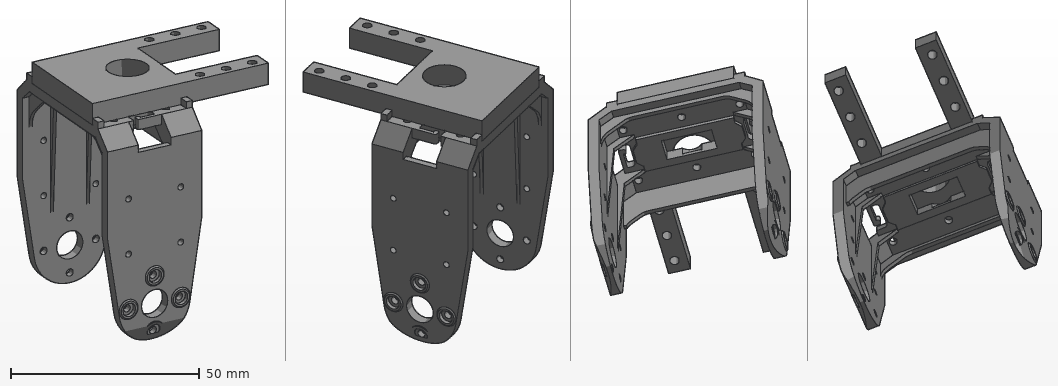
import cadquery as cq
import math


pitch = 8.0
screw_dia = 2.1
margin = 0.7
edge_reach = 0.1
bracket_depth = 29.0
front_y = -bracket_depth / 2
back_y = bracket_depth / 2
total_height = 69.0
tip_radius = 11.0
plate_height = 6.2
plate_top_z = total_height - tip_radius
seat_z = plate_top_z - plate_height

plate_width = 32.0
plate_length = 54.0
arm_width = 6.0
arm_hole_dia = 2.5
arm_hole_x = 13.45
arm_hole_start_y = 20.0
arm_hole_count = 3
port_dia = 11.5
port_y = 5.5

leg_outer_x = 24.0
leg_inner_x = 21.05
shoulder_x = 19.0
shoulder_low_z = 47.0
roof_z = 48.85
roof_x = 17.5
inner_shoulder_z = 45.7

taper_start_z = 22.0
hub_hole_dia = 8.0
light_hole_dia = 1.7

boss_dia = 5.8
boss_top_dia = 5.0
boss_height = 0.38
counterbore_dia = 3.8
counterbore_depth = 0.9

relief_radius = 19.0
relief_start_z = -6.2
relief_end_x = 22.15

tab_height = 1.9
tab_length = 1.85

web_thickness = 1.0
web_inset = 2.0
front_crown_x = 13.6
front_crown_z = 47.0
front_spring_z = 40.15
back_crown_x = 15.5
back_crown_z = 38.0
back_spring_z = 33.0
crown_radius = 3.45
spring_radius = 7.6

rib_thickness = 1.0
rib_y = 5.5
rib_end_z = 10.75
rib_bend_x = 19.2
rib_bend_z = 43.8

pad_thickness = 1.3
pad_width = 2 * rib_y - rib_thickness
pad_half_length = 13.45
nose_length = 1.5
nose_base_width = 6.75
nose_tip_width = 3.7

window_width = 2 * rib_y - rib_thickness
window_floor_z = 44.85
window_bevel = 1.05

slot_half_length = 3.45
slot_inner_x = 15.5
clip_thickness = 1.1
clip_end_y = -2.2
hook_start_y = -0.75
hook_x = 17.0
slot_corner_radius = 1.05
hook_corner_radius = 0.6
gap_corner_radius = 0.4

recess_dia = 8.0
opening_length = 13.8
opening_half_width = 3.0


def box(x_range, y_range, z_range):
    """Block between the given limits."""
    size = [high - low for low, high in (x_range, y_range, z_range)]
    corner = (x_range[0], y_range[0], z_range[0])
    return cq.Workplane("XY").box(*size, centered=False).translate(corner)


def extrude_xz(points, y_start, thickness):
    """Prism of an XZ outline, running from y_start towards +Y."""
    profile = cq.Workplane("XZ", origin=(0, y_start, 0)).polyline(points).close()
    return profile.extrude(-thickness)


def mirrored(points):
    """Outline made symmetric about X = 0 from its right half, listed from one end to the other."""
    return points + [(-x, z) for x, z in reversed(points)]


def both_sides(shape):
    """The +X shape together with its mirror image."""
    return shape.union(shape.mirror("YZ"))


def make_plate():
    half_width = plate_width / 2
    plate = box((-half_width, half_width), (front_y, front_y + plate_length), (seat_z, plate_top_z))
    gap_x = half_width - arm_width
    plate = plate.cut(box((-gap_x, gap_x), (back_y, front_y + plate_length), (seat_z, plate_top_z)))
    arm_holes = [
        (side * arm_hole_x, arm_hole_start_y + i * pitch)
        for side in (-1, 1)
        for i in range(arm_hole_count)
    ]
    top = cq.Workplane("XY", origin=(0, 0, seat_z))
    plate = plate.cut(top.pushPoints(arm_holes).circle(arm_hole_dia / 2).extrude(plate_height))
    return plate.cut(top.center(0, port_y).circle(port_dia / 2).extrude(plate_height))


def bent_frame():
    """U-shaped strip with sloped shoulders."""
    outline = mirrored([
        (leg_inner_x, -tip_radius),
        (leg_outer_x, -tip_radius),
        (leg_outer_x, shoulder_low_z),
        (shoulder_x, seat_z),
    ])
    hollow = mirrored([
        (leg_inner_x, -tip_radius),
        (leg_inner_x, inner_shoulder_z),
        (roof_x, roof_z),
    ])
    frame = extrude_xz(outline, front_y, bracket_depth)
    return frame.cut(extrude_xz(hollow, front_y, bracket_depth))


def leg_silhouette():
    """Side outline of the bracket: straight, then tapering tangentially into the round tip."""
    distance = math.hypot(back_y, taper_start_z)
    angle = math.atan2(taper_start_z, back_y) - math.acos(tip_radius / distance)
    tangent_y = tip_radius * math.cos(angle)
    tangent_z = tip_radius * math.sin(angle)
    return (
        cq.Workplane("YZ", origin=(-leg_outer_x, 0, 0))
        .moveTo(front_y, seat_z)
        .lineTo(front_y, taper_start_z)
        .lineTo(-tangent_y, tangent_z)
        .threePointArc((0, -tip_radius), (tangent_y, tangent_z))
        .lineTo(back_y, taper_start_z)
        .lineTo(back_y, seat_z)
        .close()
        .extrude(2 * leg_outer_x)
    )


def under_roof(y_start, thickness):
    """Slice of the space between the legs, from the springing of the back arch up to the roof."""
    points = [(leg_inner_x, back_spring_z), (leg_inner_x, inner_shoulder_z), (roof_x, roof_z)]
    return extrude_xz(mirrored(points), y_start, thickness)


def arched_web(y_start, crown_x, crown_z, spring_z):
    """Thin wall under the roof with a rounded arch as its lower edge."""
    opening = extrude_xz(
        mirrored([(leg_inner_x, -tip_radius), (leg_inner_x, spring_z), (crown_x, crown_z)]),
        y_start,
        web_thickness,
    )
    opening = opening.faces(">Z").edges("|Y").fillet(crown_radius)
    springing = cq.selectors.BoxSelector(
        (-leg_inner_x - margin, y_start - margin, spring_z - margin),
        (leg_inner_x + margin, y_start + web_thickness + margin, spring_z + margin),
    )
    opening = opening.edges("|Y").edges(springing).fillet(spring_radius)
    return under_roof(y_start, web_thickness).cut(opening)


def webs():
    front = arched_web(front_y + web_inset, front_crown_x, front_crown_z, front_spring_z)
    back_start = back_y - web_inset - web_thickness
    return front.union(arched_web(back_start, back_crown_x, back_crown_z, back_spring_z))


def ribs():
    """Two ribs on each leg, thickening up to a bend and then following the shoulder."""
    shoulder_slope = (roof_z - inner_shoulder_z) / (leg_inner_x - roof_x)
    rib_top_x = rib_bend_x - (roof_z - rib_bend_z) / shoulder_slope
    points = [
        (leg_inner_x, rib_end_z),
        (leg_inner_x, inner_shoulder_z),
        (roof_x, roof_z),
        (rib_top_x, roof_z),
        (rib_bend_x, rib_bend_z),
    ]
    pair = [
        extrude_xz(points, y - rib_thickness / 2, rib_thickness)
        for y in (-rib_y, rib_y)
    ]
    return both_sides(pair[0].union(pair[1]))


def pad():
    """Thickening under the middle of the roof, with a tapered nose at each end."""
    half_length = pad_half_length
    tip_x = half_length + nose_length
    lower_half = [
        (-tip_x, -nose_tip_width / 2),
        (-half_length, -nose_base_width / 2),
        (-half_length, -pad_width / 2),
        (half_length, -pad_width / 2),
        (half_length, -nose_base_width / 2),
        (tip_x, -nose_tip_width / 2),
    ]
    outline = lower_half + [(x, -y) for x, y in reversed(lower_half)]
    base = cq.Workplane("XY", origin=(0, 0, roof_z - pad_thickness))
    return base.polyline(outline).close().extrude(pad_thickness)


def tabs():
    """Four small blocks at the ends of the flat top, beside the plate."""
    x_range = (plate_width / 2, shoulder_x)
    z_range = (seat_z, seat_z + tab_height)
    front = box(x_range, (front_y, front_y + tab_length), z_range)
    back = box(x_range, (back_y - tab_length, back_y), z_range)
    return both_sides(front.union(back))


def hub_positions():
    return [(pitch, 0), (-pitch, 0), (0, pitch), (0, -pitch)]


def bosses():
    """Low conical pads around the hub screws, on the +X leg."""
    slant = math.degrees(math.atan2((boss_dia - boss_top_dia) / 2, boss_height))
    return (
        cq.Workplane("YZ", origin=(leg_outer_x, 0, 0))
        .pushPoints(hub_positions())
        .circle(boss_dia / 2)
        .extrude(boss_height, taper=slant)
    )


def tip_relief():
    """Curved cutter that thins the +X leg tip towards its lower end."""
    chord_x = leg_outer_x - relief_end_x
    chord_z = relief_start_z + tip_radius
    half_chord = math.hypot(chord_x, chord_z) / 2
    to_centre = math.sqrt(relief_radius**2 - half_chord**2)
    centre_x = (leg_outer_x + relief_end_x) / 2 - to_centre * chord_z / (2 * half_chord)
    centre_z = (relief_start_z - tip_radius) / 2 + to_centre * chord_x / (2 * half_chord)
    block = box(
        (relief_end_x - margin, leg_outer_x + margin),
        (front_y, back_y),
        (-tip_radius - margin, 0),
    )
    round_bar = (
        cq.Workplane("XZ", origin=(centre_x, back_y, centre_z))
        .circle(relief_radius)
        .extrude(bracket_depth)
    )
    return block.cut(round_bar)


def leg_holes():
    """Hub holes, screw holes and counterbores of both legs."""
    span = 2 * (leg_outer_x + boss_height)
    across = cq.Workplane("YZ", origin=(-span / 2, 0, 0))
    light_positions = [(y, z) for y in (-pitch, pitch) for z in (2 * pitch, 4 * pitch)]
    holes = across.circle(hub_hole_dia / 2).extrude(span)
    holes = holes.union(across.pushPoints(hub_positions()).circle(screw_dia / 2).extrude(span))
    holes = holes.union(across.pushPoints(light_positions).circle(light_hole_dia / 2).extrude(span))
    counterbores = (
        cq.Workplane("YZ", origin=(leg_outer_x - counterbore_depth, 0, 0))
        .pushPoints(hub_positions())
        .circle(counterbore_dia / 2)
        .extrude(counterbore_depth + boss_height)
    )
    return holes.union(both_sides(counterbores))


def window():
    """Opening in the +X shoulder, with a bevel on the inner edge of its floor."""
    bevel_x = leg_inner_x + window_bevel
    points = [
        (roof_x, window_floor_z - window_bevel),
        (leg_inner_x, window_floor_z - window_bevel),
        (bevel_x, window_floor_z),
        (leg_outer_x, window_floor_z),
        (leg_outer_x, seat_z),
        (shoulder_x, seat_z),
        (shoulder_x, roof_z),
        (roof_x, roof_z),
    ]
    return extrude_xz(points, -window_width / 2, window_width)


def clip_slot():
    """Slot through the flat top that frees a hooked clip at the +X edge."""
    clip_inner_x = shoulder_x - clip_thickness
    points = [
        (slot_inner_x, -slot_half_length),
        (shoulder_x, -slot_half_length),
        (shoulder_x, clip_end_y),
        (hook_x, clip_end_y),
        (hook_x, hook_start_y),
        (clip_inner_x, hook_start_y),
        (clip_inner_x, slot_half_length),
        (slot_inner_x, slot_half_length),
    ]
    slot = cq.Workplane("XY", origin=(0, 0, roof_z)).polyline(points).close().extrude(seat_z - roof_z)
    return slot.edges("|Z and <X").fillet(slot_corner_radius)


def round_clips(bracket):
    """Rounds the hook of each clip, its root and the corner across the gap from its free end."""
    corners = [
        (shoulder_x, -slot_half_length, gap_corner_radius),
        (shoulder_x - clip_thickness, slot_half_length, gap_corner_radius),
        (shoulder_x, clip_end_y, hook_corner_radius),
        (hook_x, clip_end_y, hook_corner_radius),
        (hook_x, hook_start_y, hook_corner_radius),
    ]
    for x, y, radius in corners:
        for side_x in (-x, x):
            low = (side_x - edge_reach, y - edge_reach, roof_z)
            high = (side_x + edge_reach, y + edge_reach, seat_z)
            edge = bracket.edges("|Z").edges(cq.selectors.BoxSelector(low, high))
            bracket = edge.fillet(radius)
    return bracket


def top_openings():
    """Screw holes, central recess and central opening of the flat top."""
    thickness = seat_z - roof_z
    roof = cq.Workplane("XY", origin=(0, 0, roof_z))
    positions = [(x, y) for x in (-2 * pitch, 0, 2 * pitch) for y in (-pitch, pitch)]
    cutter = roof.pushPoints(positions).circle(screw_dia / 2).extrude(thickness)
    cutter = cutter.union(roof.circle(recess_dia / 2).extrude(thickness))
    through_pad = roof.workplane(offset=-pad_thickness)
    opening = through_pad.rect(opening_length, 2 * opening_half_width)
    return cutter.union(opening.extrude(thickness + pad_thickness))


def make_bracket():
    bracket = bent_frame().intersect(leg_silhouette())
    bracket = bracket.union(webs()).union(ribs()).union(pad()).union(tabs()).union(both_sides(bosses()))
    bracket = bracket.cut(both_sides(tip_relief())).cut(leg_holes())
    bracket = bracket.cut(both_sides(window())).cut(both_sides(clip_slot()))
    return round_clips(bracket).cut(top_openings())


plate = make_plate()
bracket = make_bracket()
result = cq.Compound.makeCompound([plate.val(), *bracket.vals()])